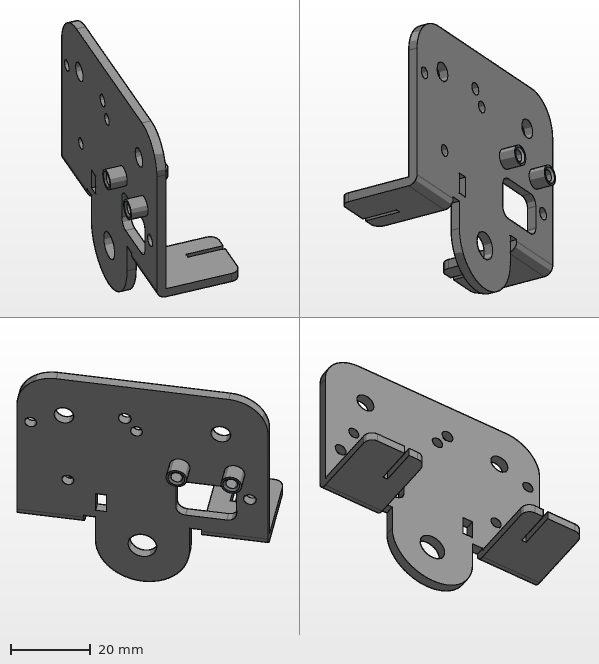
import cadquery as cq
import math

width = 64.0
top_z = 52.0
plate_thickness = 2.5
plate_corner_radius = 10.0

lug_radius = 12.0
pivot_hole_diameter = 7.25
pivot_hole_z = -0.1

flange_width = 17.0
flange_reach = 20.25
flange_thickness = 2.5
flange_bottom_z = 4.5
bend_radius = flange_thickness
flange_corner_radius = 2.5
relief_top_z = 7.5

slot_width = 1.3
slot_depth = 10.0
slot_center_x = 20.7

mounting_hole_diameter = 5.0
mounting_holes = [(-20.0, 40.1), (20.0, 40.1)]
clearance_hole_diameter = 3.2
clearance_holes = [(-4.5, 41.5), (27.4, 19.5)]
small_hole_diameter = 3.0
small_holes = [(-28.5, 36.5), (-1.5, 37.65), (-19.0, 18.75)]

window_width = 15.5
window_height = 11.0
window_center = (16.25, 17.25)
window_corner_radius = 2.5
small_slot_width = 2.75
small_slot_height = 5.5
small_slot_center = (-10.55, 12.5)

standoff_diameter = 5.25
standoff_height = 4.5
standoff_bore = 3.0
standoff_countersink_diameter = 4.25
standoff_countersink_depth = 0.5
standoff_centers = [(9.48, 27.55), (23.48, 27.55)]

flange_top_z = flange_bottom_z + flange_thickness
flange_rear_y = plate_thickness + flange_reach


def front_plane(y=0.0):
    """Sketch plane at depth y: local x is X, local y is Z, extrusion runs toward -Y."""
    return cq.Workplane("XZ", origin=(0, y, 0))


def make_panel():
    """Rounded rectangular panel, ending at the relief edge above the bend."""
    height = top_z - relief_top_z
    panel = (
        front_plane()
        .center(0, relief_top_z + height / 2)
        .rect(width, height)
        .extrude(-plate_thickness)
    )
    return panel.edges("|Y and >Z").fillet(plate_corner_radius)


def make_lug():
    """Round-ended lug hanging from the middle of the panel."""
    return (
        front_plane()
        .moveTo(-lug_radius, relief_top_z)
        .lineTo(-lug_radius, 0)
        .threePointArc((0, -lug_radius), (lug_radius, 0))
        .lineTo(lug_radius, relief_top_z)
        .close()
        .extrude(-plate_thickness)
    )


def make_flange(side):
    """Bent, slotted flange; side is -1 for left, +1 for right."""
    center_x = side * (width - flange_width) / 2
    arc_inset = bend_radius * (1 - math.sqrt(0.5))
    flange = (
        cq.Workplane("YZ", origin=(center_x, 0, 0))
        .moveTo(0, relief_top_z)
        .lineTo(0, flange_bottom_z + bend_radius)
        .threePointArc((arc_inset, flange_bottom_z + arc_inset), (bend_radius, flange_bottom_z))
        .lineTo(flange_rear_y, flange_bottom_z)
        .lineTo(flange_rear_y, flange_top_z)
        .lineTo(plate_thickness, flange_top_z)
        .lineTo(plate_thickness, relief_top_z)
        .close()
        .extrude(flange_width / 2, both=True)
        .edges("|Z and >Y")
        .fillet(flange_corner_radius)
    )
    slot = (
        cq.Workplane("XY", origin=(side * slot_center_x, flange_rear_y - slot_depth, flange_bottom_z))
        .box(slot_width, slot_depth, flange_thickness, centered=(True, False, False))
    )
    return flange.cut(slot)


def make_standoffs():
    """Round standoffs on the front face, still without their bores."""
    return front_plane().pushPoints(standoff_centers).circle(standoff_diameter / 2).extrude(standoff_height)


def cut_holes(body, centers, diameter):
    """Drill holes through the plate."""
    drills = front_plane().pushPoints(centers).circle(diameter / 2).extrude(-plate_thickness)
    return body.cut(drills)


def bore_standoffs(body):
    """Through bore with a countersunk mouth in each standoff."""
    bore_length = standoff_height + plate_thickness
    for x, z in standoff_centers:
        mouth = front_plane(-standoff_height).center(x, z)
        bore = mouth.circle(standoff_bore / 2).extrude(-bore_length)
        countersink = (
            mouth.circle(standoff_countersink_diameter / 2)
            .workplane(offset=-standoff_countersink_depth)
            .circle(standoff_bore / 2)
            .loft()
        )
        body = body.cut(bore).cut(countersink)
    return body


def make_window():
    """Cutter for the window with rounded corners."""
    return (
        front_plane()
        .center(*window_center)
        .rect(window_width, window_height)
        .extrude(-plate_thickness)
        .edges("|Y")
        .fillet(window_corner_radius)
    )


def make_small_slot():
    """Cutter for the small sharp-cornered slot."""
    return (
        front_plane()
        .center(*small_slot_center)
        .rect(small_slot_width, small_slot_height)
        .extrude(-plate_thickness)
    )


bracket = make_panel().union(make_lug())
for side in (-1, 1):
    bracket = bracket.union(make_flange(side))
bracket = bracket.union(make_standoffs())

bracket = cut_holes(bracket, [(0, pivot_hole_z)], pivot_hole_diameter)
bracket = cut_holes(bracket, mounting_holes, mounting_hole_diameter)
bracket = cut_holes(bracket, clearance_holes, clearance_hole_diameter)
bracket = cut_holes(bracket, small_holes, small_hole_diameter)
bracket = bore_standoffs(bracket)
result = bracket.cut(make_window()).cut(make_small_slot())